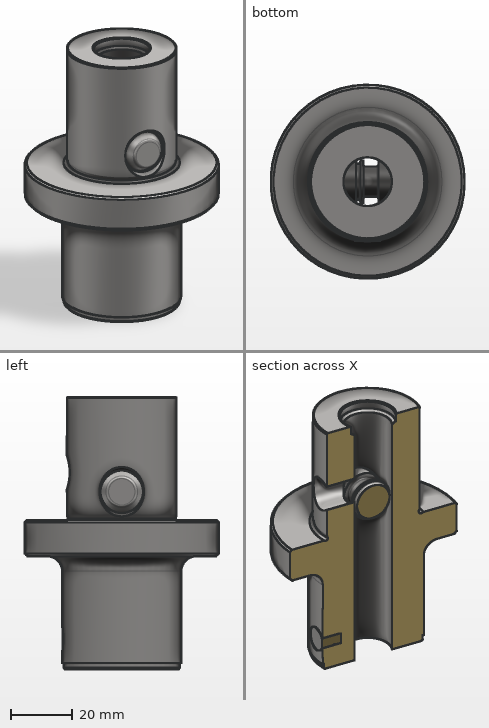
import cadquery as cq
total_height = 89.0
shaft_radius = 18.0
shaft_top_chamfer = 0.4
flange_radius = 63.5 / 2
flange_top = 48.8
flange_bottom = 36.9
flange_top_chamfer = 0.7
flange_bottom_chamfer = 1.0
shank_radius = 19.5
shank_fillet = 4.8
spigot_radius = 19.05
spigot_height = 2.05
spigot_chamfer = 0.5

relief_radius = 17.6
relief_taper_top = 50.5
relief_taper_bottom = 49.3
relief_groove_radius = 0.8

bore_radius = 7.9
counterbore_radius = 9.2
counterbore_chamfer = 0.4
counterbore_depth = 2.85
counterbore_cone_height = 0.8

pin_height = 58.0
pin_radius = 6.9
pin_left_end = -24.7
pin_right_end = 18.6
pin_cone_length = 3.65
pin_end_radius = 4.9
pin_end_fillet = 1.0
pin_shoulder_fillet = 0.6

pin_groove_radius = 5.9
pin_groove_left = -3.7
pin_groove_left_fillet = 0.5
pin_groove_right_fillet = 0.8
pin_neck_radius = 5.0
pin_neck_left = -1.4
pin_neck_right = 3.5
pin_neck_fillet = 0.45

countersink_mouth_radius = 8.1
countersink_depth = 2.1

upper_hole_radius = 5.7
upper_hole_height = 64.35
plug_radius = 4.1
plug_height = 10.0
plug_outer_end = 19.3
plug_length = 7.1


def make_housing_blank():
    """Revolve the outside of the housing about Z."""
    groove_center_radius = relief_radius + relief_groove_radius
    groove_center_rise = relief_taper_bottom - flange_top
    groove_half_width = (relief_groove_radius**2 - groove_center_rise**2) ** 0.5
    fillet_diagonal = shank_fillet * (1 - 0.5**0.5)
    outline = (
        cq.Workplane("XZ")
        .moveTo(0, 0)
        .lineTo(spigot_radius - spigot_chamfer, 0)
        .lineTo(spigot_radius, spigot_chamfer)
        .lineTo(spigot_radius, spigot_height)
        .lineTo(shank_radius, spigot_height)
        .lineTo(shank_radius, flange_bottom - shank_fillet)
        .threePointArc(
            (shank_radius + fillet_diagonal, flange_bottom - fillet_diagonal),
            (shank_radius + shank_fillet, flange_bottom),
        )
        .lineTo(flange_radius - flange_bottom_chamfer, flange_bottom)
        .lineTo(flange_radius, flange_bottom + flange_bottom_chamfer)
        .lineTo(flange_radius, flange_top - flange_top_chamfer)
        .lineTo(flange_radius - flange_top_chamfer, flange_top)
        .lineTo(groove_center_radius + groove_half_width, flange_top)
        .threePointArc(
            (groove_center_radius, relief_taper_bottom - relief_groove_radius),
            (relief_radius, relief_taper_bottom),
        )
        .lineTo(shaft_radius, relief_taper_top)
        .lineTo(shaft_radius, total_height - shaft_top_chamfer)
        .lineTo(shaft_radius - shaft_top_chamfer, total_height)
        .lineTo(0, total_height)
        .close()
    )
    return outline.revolve(360, (0, 0, 0), (0, 1, 0))


def make_bore():
    """Revolve the cavity of the through bore and its counterbore about Z."""
    counterbore_floor = total_height - counterbore_depth
    outline = (
        cq.Workplane("XZ")
        .moveTo(0, 0)
        .lineTo(bore_radius, 0)
        .lineTo(bore_radius, counterbore_floor - counterbore_cone_height)
        .lineTo(counterbore_radius, counterbore_floor)
        .lineTo(counterbore_radius, total_height - counterbore_chamfer)
        .lineTo(counterbore_radius + counterbore_chamfer, total_height)
        .lineTo(0, total_height)
        .close()
    )
    return outline.revolve(360, (0, 0, 0), (0, 1, 0))


def make_pin_hole():
    """Cross hole along X, countersunk where it leaves the shaft on each side."""
    countersink_start = shaft_radius - countersink_depth
    outline = (
        cq.Workplane("XZ")
        .moveTo(-shaft_radius, 0)
        .lineTo(-shaft_radius, countersink_mouth_radius)
        .lineTo(-countersink_start, pin_radius)
        .lineTo(countersink_start, pin_radius)
        .lineTo(shaft_radius, countersink_mouth_radius)
        .lineTo(shaft_radius, 0)
        .close()
    )
    hole = outline.revolve(360, (0, 0, 0), (1, 0, 0))
    return hole.translate((0, 0, pin_height))


def y_cylinder(radius, height, outer_end, length):
    """Cylinder along Y that runs inward from outer_end toward the Z axis."""
    return (
        cq.Workplane("XZ", origin=(0, outer_end, height))
        .circle(radius)
        .extrude(length)
    )


def make_housing():
    """Housing with its bore, the pin hole, the upper hole into the bore and the plug hole."""
    upper_hole = y_cylinder(upper_hole_radius, upper_hole_height, shaft_radius, shaft_radius)
    plug_hole_depth = shank_radius - plug_outer_end + plug_length
    plug_hole = y_cylinder(plug_radius, plug_height, shank_radius, plug_hole_depth)
    return (
        make_housing_blank()
        .cut(make_bore())
        .cut(make_pin_hole())
        .cut(upper_hole)
        .cut(plug_hole)
    )


def make_pin_neck():
    """Ring about X that turns the middle of the pin down to its neck."""
    return (
        cq.Workplane("YZ", origin=(pin_neck_left, 0, 0))
        .circle(pin_radius)
        .circle(pin_neck_radius)
        .extrude(pin_neck_right - pin_neck_left)
    )


def make_pin_groove():
    """Round-bottomed groove about X: two unequal quarter arcs that meet on its floor."""
    floor_x = pin_groove_left + pin_groove_left_fillet
    groove_right = floor_x + pin_groove_right_fillet
    left_center_radius = pin_groove_radius + pin_groove_left_fillet
    right_center_radius = pin_groove_radius + pin_groove_right_fillet
    diagonal = 0.5**0.5
    outline = (
        cq.Workplane("XZ")
        .moveTo(pin_groove_left, pin_radius)
        .lineTo(pin_groove_left, left_center_radius)
        .threePointArc(
            (
                floor_x - pin_groove_left_fillet * diagonal,
                left_center_radius - pin_groove_left_fillet * diagonal,
            ),
            (floor_x, pin_groove_radius),
        )
        .threePointArc(
            (
                floor_x + pin_groove_right_fillet * diagonal,
                right_center_radius - pin_groove_right_fillet * diagonal,
            ),
            (groove_right, right_center_radius),
        )
        .lineTo(groove_right, pin_radius)
        .close()
    )
    return outline.revolve(360, (0, 0, 0), (1, 0, 0))


def edge_at(x, radius):
    """Selector for the circular edge about X at the given position and radius."""
    tolerance = 0.045
    reach = radius + tolerance
    return cq.selectors.BoxSelector(
        (x - tolerance, -reach, -reach), (x + tolerance, reach, reach), boundingbox=True
    )


def make_pin():
    """Pin with coned ends, a groove and a neck; the ends and neck are blended."""
    pin = (
        cq.Workplane("XZ")
        .moveTo(pin_left_end, 0)
        .lineTo(pin_left_end, pin_end_radius)
        .lineTo(pin_left_end + pin_cone_length, pin_radius)
        .lineTo(pin_right_end - pin_cone_length, pin_radius)
        .lineTo(pin_right_end, pin_end_radius)
        .lineTo(pin_right_end, 0)
        .close()
        .revolve(360, (0, 0, 0), (1, 0, 0))
    )
    pin = pin.cut(make_pin_groove())
    pin = pin.cut(make_pin_neck())
    blends = [
        (pin_left_end, pin_end_radius, pin_end_fillet),
        (pin_right_end, pin_end_radius, pin_end_fillet),
        (pin_left_end + pin_cone_length, pin_radius, pin_shoulder_fillet),
        (pin_right_end - pin_cone_length, pin_radius, pin_shoulder_fillet),
        (pin_neck_left, pin_neck_radius, pin_neck_fillet),
        (pin_neck_right, pin_neck_radius, pin_neck_fillet),
    ]
    for x, radius, blend in blends:
        pin = pin.edges(edge_at(x, radius)).fillet(blend)
    return pin.translate((0, 0, pin_height))


def make_plug():
    """Flat-ended plug that closes the blind hole in the side of the shank."""
    return y_cylinder(plug_radius, plug_height, plug_outer_end, plug_length)


housing = make_housing()
pin = make_pin()
plug = make_plug()

result = cq.Compound.makeCompound([*housing.solids().vals(), *pin.solids().vals(), plug.val()])